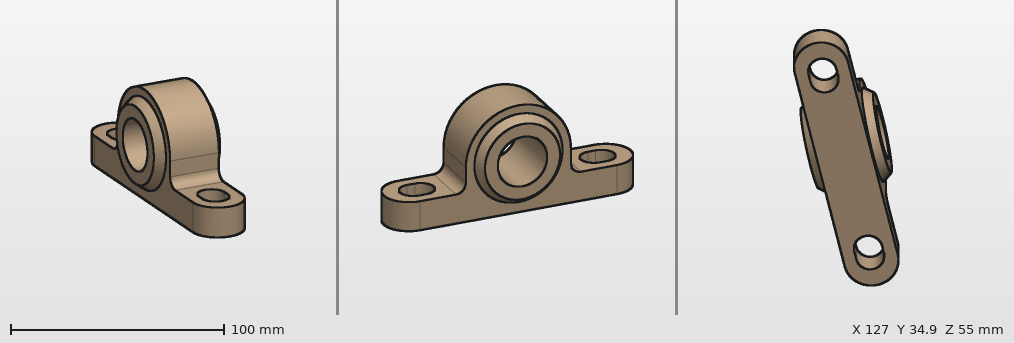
import cadquery as cq

length = 127.0
thickness = 25.7
foot_height = 15.0
axis_height = 28.0
boss_radius = 27.0
root_fillet = 5.1

slot_length = 17.3
slot_width = 13.3
slot_offset = 46.5

bush_length = 34.9
ball_radius = 26.0
bore_radius = 12.7


def make_foot():
    return cq.Workplane("XY").slot2D(length, thickness).extrude(foot_height)


def make_boss():
    """Round-topped upright, centred on Y = 0 and standing on Z = 0."""
    return (
        cq.Workplane("XZ")
        .moveTo(-boss_radius, 0)
        .lineTo(-boss_radius, axis_height)
        .threePointArc((0, axis_height + boss_radius), (boss_radius, axis_height))
        .lineTo(boss_radius, 0)
        .close()
        .extrude(thickness / 2, both=True)
    )


def make_root_fillet(side):
    """Concave corner between the foot and one side (-1 or 1) of the boss."""
    wall_x = side * boss_radius
    outer_x = side * (boss_radius + root_fillet)
    top_z = foot_height + root_fillet
    reach = root_fillet * (1 - 0.5**0.5)
    return (
        cq.Workplane("XZ")
        .moveTo(wall_x, foot_height)
        .lineTo(outer_x, foot_height)
        .threePointArc((wall_x + side * reach, foot_height + reach), (wall_x, top_z))
        .close()
        .extrude(thickness / 2, both=True)
    )


def make_slots():
    return (
        cq.Workplane("XY")
        .pushPoints([(-slot_offset, 0), (slot_offset, 0)])
        .slot2D(slot_length, slot_width)
        .extrude(foot_height)
    )


def make_ball():
    return cq.Workplane("XZ").sphere(ball_radius).translate((0, 0, axis_height))


def make_axial_cylinder(radius):
    """Cylinder on the bearing axis, which runs along Y, as long as the bush."""
    return (
        cq.Workplane("XZ")
        .center(0, axis_height)
        .circle(radius)
        .extrude(bush_length / 2, both=True)
    )


def make_housing():
    body = make_foot().union(make_boss())
    for side in (-1, 1):
        body = body.union(make_root_fillet(side))
    return body.cut(make_slots()).cut(make_ball())


def make_bush():
    """Ball trimmed flat at both ends and bored through."""
    trimmed_ball = make_ball().intersect(make_axial_cylinder(ball_radius))
    return trimmed_ball.cut(make_axial_cylinder(bore_radius))


housing = make_housing()
bush = make_bush()
result = cq.Compound.makeCompound([housing.val(), bush.val()])